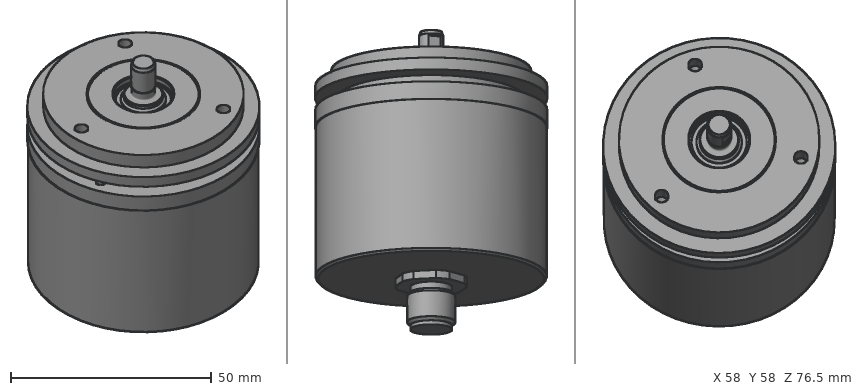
import cadquery as cq
import math

CONNECTOR_HEIGHT = 11.0
BODY_BOTTOM = 13.1
CAN_TOP = 52.0
BODY_TOP = 56.5
GROOVE_TOP = 59.6
FLANGE_TOP = 62.65
PILOT_TOP = 66.55
SHAFT_TOP = 76.5

BODY_RADIUS = 29.0
CAN_RADIUS = 28.85
CAN_CHAMFER = 0.6
GROOVE_RADIUS = 23.25
PILOT_RADIUS = 25.0

NUT_ACROSS_FLATS = 17.0
NUT_RADIUS = 8.95

CONNECTOR_RADIUS = 6.05
CONNECTOR_NECK_RADIUS = 5.2
THREAD_BOTTOM = 1.9
THREAD_TOP = 8.6

RING_RADIUS = 14.15
RING_WIDTH = 0.3
RING_DEPTH = 0.3
RECESS_RADIUS = 7.7
RECESS_CHAMFER = 0.2
RECESS_LEDGE_DEPTH = 1.75
RECESS_FLOOR_RADIUS = 6.9
RECESS_DEPTH = 1.9

HUB_RADIUS = 4.9
HUB_BASE_RADIUS = 5.65
HUB_BASE_HEIGHT = 0.3
HUB_CONE_HEIGHT = 0.6
HUB_CHAMFER = 0.15

SHAFT_RADIUS = 3.05
SHAFT_TIP_RADIUS = 2.7
TIP_HEIGHT = 1.0
NECK_RADIUS = 2.9
NECK_TOP = 69.0
ROOT_FILLET = 0.45
FLAT_DEPTH = 0.45
FLAT_BOTTOM = 70.2
FLAT_TOP = 75.0

HOLE_COUNT = 3
HOLE_RADIUS = 1.7
HOLE_CIRCLE_RADIUS = 20.95
HOLE_DEPTH = 4.6
DRILL_TIP_ANGLE = 118
RIM_HOLE_RADIUS = 1.2
RIM_HOLE_CIRCLE_RADIUS = 25.25
RIM_HOLE_ANGLE = 262.5
RIM_HOLE_DEPTH = 0.2


def revolve(profile):
    """Turn a closed outline of (radius, height) points about the Z axis."""
    return cq.Workplane("XZ").polyline(profile).close().revolve(360, (0, 0), (0, 1))


def disc(radius, bottom, top):
    return cq.Workplane("XY").workplane(offset=bottom).circle(radius).extrude(top - bottom)


def polar(radius, degrees):
    angle = math.radians(degrees)
    return radius * math.cos(angle), radius * math.sin(angle)


def make_housing():
    can = disc(CAN_RADIUS, BODY_BOTTOM, CAN_TOP).faces("<Z").chamfer(CAN_CHAMFER)
    collar = disc(BODY_RADIUS, CAN_TOP, BODY_TOP)
    groove_core = disc(GROOVE_RADIUS, BODY_TOP, GROOVE_TOP)
    flange = disc(BODY_RADIUS, GROOVE_TOP, FLANGE_TOP)
    pilot = disc(PILOT_RADIUS, FLANGE_TOP, PILOT_TOP)
    return can.union(collar).union(groove_core).union(flange).union(pilot)


def make_nut():
    height = BODY_BOTTOM - CONNECTOR_HEIGHT
    corner_circle = NUT_ACROSS_FLATS / math.cos(math.pi / 6)
    hexagon = (
        cq.Workplane("XY")
        .workplane(offset=CONNECTOR_HEIGHT)
        .transformed(rotate=(0, 0, 30))
        .polygon(6, corner_circle)
        .extrude(height)
    )
    return hexagon.intersect(disc(NUT_RADIUS, CONNECTOR_HEIGHT, BODY_BOTTOM))


def make_connector():
    chamfer = CONNECTOR_RADIUS - CONNECTOR_NECK_RADIUS
    return revolve([
        (0, 0),
        (CONNECTOR_NECK_RADIUS, 0),
        (CONNECTOR_NECK_RADIUS, THREAD_BOTTOM - chamfer),
        (CONNECTOR_RADIUS, THREAD_BOTTOM),
        (CONNECTOR_RADIUS, THREAD_TOP),
        (CONNECTOR_NECK_RADIUS, THREAD_TOP + chamfer),
        (CONNECTOR_NECK_RADIUS, CONNECTOR_HEIGHT),
        (0, CONNECTOR_HEIGHT),
    ])


def make_ring_groove():
    bottom = PILOT_TOP - RING_DEPTH
    return disc(RING_RADIUS, bottom, PILOT_TOP).cut(disc(RING_RADIUS - RING_WIDTH, bottom, PILOT_TOP))


def make_seal_recess():
    """Space around the hub, sunk into the pilot face."""
    floor = PILOT_TOP - RECESS_DEPTH
    ledge = PILOT_TOP - RECESS_LEDGE_DEPTH
    cone_bottom = floor + HUB_BASE_HEIGHT
    wall_radius = RECESS_RADIUS - RECESS_CHAMFER
    return revolve([
        (HUB_RADIUS - HUB_CHAMFER, PILOT_TOP),
        (HUB_RADIUS, PILOT_TOP - HUB_CHAMFER),
        (HUB_RADIUS, cone_bottom + HUB_CONE_HEIGHT),
        (HUB_BASE_RADIUS, cone_bottom),
        (HUB_BASE_RADIUS, floor),
        (RECESS_FLOOR_RADIUS, floor),
        (RECESS_FLOOR_RADIUS, ledge),
        (wall_radius, ledge),
        (wall_radius, PILOT_TOP - RECESS_CHAMFER),
        (RECESS_RADIUS, PILOT_TOP),
    ])


def make_shaft():
    root_middle = ROOT_FILLET * (1 - math.sqrt(0.5))
    outline = (
        cq.Workplane("XZ")
        .moveTo(0, PILOT_TOP)
        .lineTo(NECK_RADIUS + ROOT_FILLET, PILOT_TOP)
        .threePointArc(
            (NECK_RADIUS + root_middle, PILOT_TOP + root_middle),
            (NECK_RADIUS, PILOT_TOP + ROOT_FILLET),
        )
        .lineTo(NECK_RADIUS, NECK_TOP)
        .lineTo(SHAFT_RADIUS, NECK_TOP)
        .lineTo(SHAFT_RADIUS, SHAFT_TOP - TIP_HEIGHT)
        .lineTo(SHAFT_TIP_RADIUS, SHAFT_TOP)
        .lineTo(0, SHAFT_TOP)
        .close()
    )
    shaft = outline.revolve(360, (0, 0), (0, 1))
    flat = (
        cq.Workplane("XY")
        .workplane(offset=FLAT_BOTTOM)
        .center(0, SHAFT_RADIUS)
        .rect(2 * SHAFT_RADIUS, 2 * FLAT_DEPTH)
        .extrude(FLAT_TOP - FLAT_BOTTOM)
    )
    return shaft.cut(flat)


def make_mounting_hole(index):
    """Drilled hole with a conical bottom."""
    shoulder = PILOT_TOP - HOLE_DEPTH
    tip = shoulder - HOLE_RADIUS / math.tan(math.radians(DRILL_TIP_ANGLE / 2))
    x, y = polar(HOLE_CIRCLE_RADIUS, index * 360 / HOLE_COUNT)
    drill = revolve([(0, tip), (HOLE_RADIUS, shoulder), (HOLE_RADIUS, PILOT_TOP), (0, PILOT_TOP)])
    return drill.translate((x, y, 0))


def make_rim_hole():
    """Small blind hole in the body's top face, below the flange."""
    x, y = polar(RIM_HOLE_CIRCLE_RADIUS, RIM_HOLE_ANGLE)
    return disc(RIM_HOLE_RADIUS, BODY_TOP - RIM_HOLE_DEPTH, BODY_TOP).translate((x, y, 0))


result = make_housing().cut(make_ring_groove()).cut(make_seal_recess()).cut(make_rim_hole())
for hole_index in range(HOLE_COUNT):
    result = result.cut(make_mounting_hole(hole_index))
result = result.union(make_nut()).union(make_connector()).union(make_shaft())